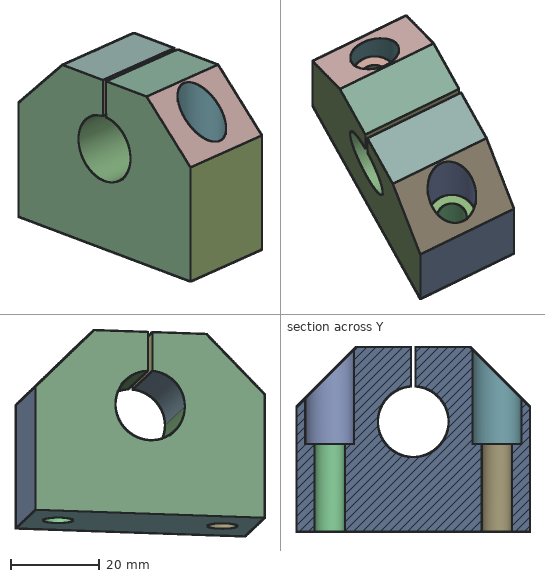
import cadquery as cq

length = 53.0
depth = 24.0
height = 42.0
corner_cut = 13.5

bore_diameter = 16.0
bore_height = 25.0
slit_width = 1.0

screw_offset = 19.0
screw_diameter = 6.8
head_diameter = 11.0
head_seat_height = 20.0


def block():
    body = cq.Workplane("XY").box(length, depth, height, centered=(True, True, False))
    return body.edges("|Y and >Z").chamfer(corner_cut)


def shaft_bore():
    return (
        cq.Workplane("XZ")
        .center(0, bore_height)
        .circle(bore_diameter / 2)
        .extrude(depth, both=True)
    )


def clamping_slit():
    return (
        cq.Workplane("XY", origin=(0, 0, bore_height))
        .rect(slit_width, depth)
        .extrude(height - bore_height)
    )


def screw_hole(x):
    shank = cq.Workplane("XY").center(x, 0).circle(screw_diameter / 2).extrude(height)
    head = (
        cq.Workplane("XY", origin=(x, 0, head_seat_height))
        .circle(head_diameter / 2)
        .extrude(height - head_seat_height)
    )
    return shank.union(head)


body = block().cut(shaft_bore()).cut(clamping_slit())
for side in (-1, 1):
    body = body.cut(screw_hole(side * screw_offset))

result = body